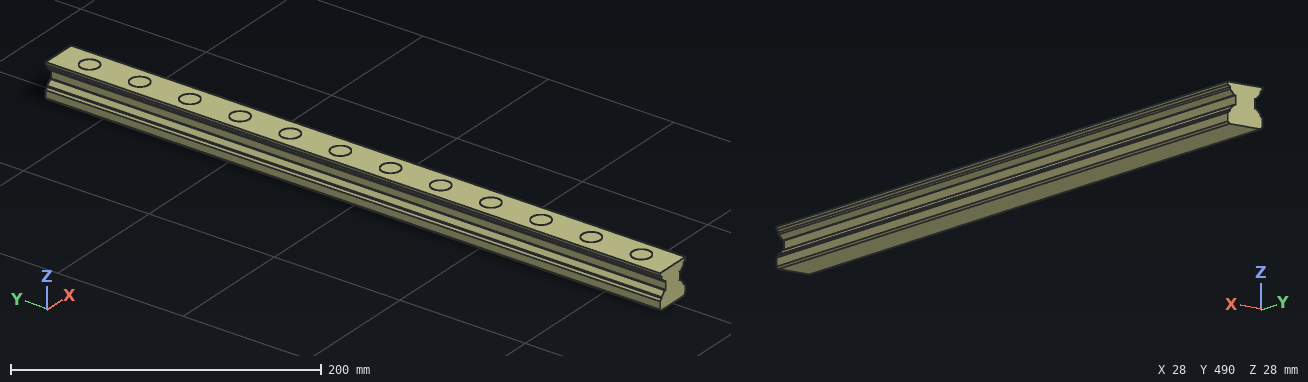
import cadquery as cq

LENGTH = 490.0
WIDTH = 28.0
HEIGHT = 28.0
HALF_WIDTH = WIDTH / 2

WAIST_HALF_WIDTH = 8.0
TRACK_INNER_HALF_WIDTH = 9.0
TRACK_OUTER_HALF_WIDTH = 12.2
TRACK_RISE = TRACK_OUTER_HALF_WIDTH - TRACK_INNER_HALF_WIDTH

FOOT_MOUTH_Z = 7.5
FOOT_LIP_Z = 9.0
WAIST_BOTTOM_Z = 13.0
WAIST_TOP_Z = 19.5
HEAD_LIP_Z = 24.5
HEAD_MOUTH_Z = 26.0

FOOT_CHAMFER = 1.5

HOLE_COUNT = 12
END_MARGIN = 25.0
HOLE_PITCH = (LENGTH - 2 * END_MARGIN) / (HOLE_COUNT - 1)
HOLE_DIAMETER = 14.0
HOLE_DEPTH = 0.15


def make_rail():
    """Extrude the section, mirrored about the YZ plane, along the whole length."""
    half_section = [
        (0, 0),
        (HALF_WIDTH - FOOT_CHAMFER, 0),
        (HALF_WIDTH, FOOT_CHAMFER),
        (HALF_WIDTH, FOOT_MOUTH_Z),
        (TRACK_OUTER_HALF_WIDTH, FOOT_LIP_Z),
        (TRACK_OUTER_HALF_WIDTH, WAIST_BOTTOM_Z - TRACK_RISE),
        (TRACK_INNER_HALF_WIDTH, WAIST_BOTTOM_Z),
        (WAIST_HALF_WIDTH, WAIST_BOTTOM_Z),
        (WAIST_HALF_WIDTH, WAIST_TOP_Z),
        (TRACK_INNER_HALF_WIDTH, WAIST_TOP_Z),
        (TRACK_OUTER_HALF_WIDTH, WAIST_TOP_Z + TRACK_RISE),
        (TRACK_OUTER_HALF_WIDTH, HEAD_LIP_Z),
        (HALF_WIDTH, HEAD_MOUTH_Z),
        (HALF_WIDTH, HEIGHT),
        (0, HEIGHT),
    ]
    section = cq.Workplane("XZ").polyline(half_section).mirrorY()
    return section.extrude(LENGTH / 2, both=True)


def cut_recesses(rail):
    """Sink the row of recesses along the centre line of the top face."""
    return (
        rail.faces(">Z")
        .workplane(origin=(0, 0, HEIGHT))
        .rarray(5, HOLE_PITCH, 1, HOLE_COUNT)
        .circle(HOLE_DIAMETER / 2)
        .cutBlind(-HOLE_DEPTH)
    )


result = cut_recesses(make_rail())